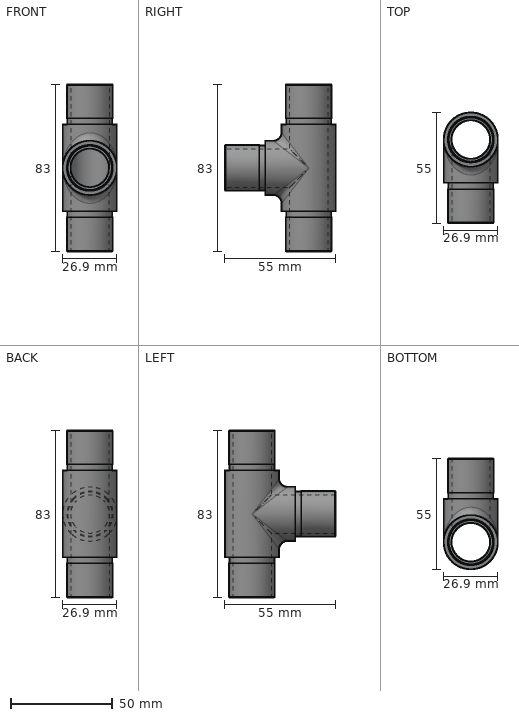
import cadquery as cq
import math

body_diameter = 26.9
groove_diameter = 22.4
spigot_diameter = 22.8
bore_diameter = 19.0
shoulder_reach = 21.5
groove_width = 3.0
arm_reach = 41.5
end_chamfer = 0.5
junction_fillet = 4.0
seam_tolerance = 1e-4

body_radius = body_diameter / 2
ball_reach = body_radius + junction_fillet

AXIS_UP = cq.Vector(0, 0, 1)
AXIS_DOWN = cq.Vector(0, 0, -1)
AXIS_BRANCH = cq.Vector(0, -1, 0)
ARM_AXES = (AXIS_UP, AXIS_DOWN, AXIS_BRANCH)


def cylinder(diameter, start, end, axis):
    """Round bar along an axis through the tee centre, between two distances from it."""
    bar = cq.Solid.makeCylinder(diameter / 2, end - start, axis * start, axis)
    return cq.Workplane(obj=bar)


def crotch_wedge():
    """Wedge along X in the upper crotch, between the two flat planes where the blend starts."""
    outline = [
        (0, 0),
        (-body_radius, ball_reach),
        (-ball_reach, ball_reach),
        (-ball_reach, body_radius),
    ]
    return cq.Workplane("YZ").polyline(outline).close().extrude(ball_reach, both=True)


def crotch_blend(wedge):
    """Part of the wedge left solid after a ball of the blend radius rolls along the crotch.

    Run and branch share one diameter, so the ball's centre follows an ellipse in the 45 degree
    plane, its contact lines lie on the wedge's flat sides, and the blend fades out at each end.
    """
    crotch_plane = cq.Plane(origin=(0, 0, 0), xDir=(1, 0, 0), normal=(0, -1, -1))
    ball_path = cq.Workplane(crotch_plane).ellipse(ball_reach, ball_reach * math.sqrt(2))
    inside_path = ball_path.extrude(ball_reach, both=True)

    ball_plane = cq.Plane(origin=(ball_reach, 0, 0), xDir=(1, 0, 0), normal=(0, -1, 1))
    ball_sweep = cq.Workplane(ball_plane).circle(junction_fillet).sweep(ball_path)
    return wedge.intersect(inside_path).cut(ball_sweep)


def tee_body():
    """Full-diameter run and branch, with the wedge at each crotch replaced by its rounded blend."""
    run = cylinder(body_diameter, -shoulder_reach, shoulder_reach, AXIS_UP)
    branch = cylinder(body_diameter, 0, shoulder_reach, AXIS_BRANCH)
    upper_wedge = crotch_wedge()
    lower_wedge = upper_wedge.mirror("XY")
    upper_blend = crotch_blend(upper_wedge)
    lower_blend = upper_blend.mirror("XY")
    tee = run.union(branch).cut(upper_wedge).cut(lower_wedge)
    tee = tee.union(upper_blend, tol=seam_tolerance)
    return tee.union(lower_blend, tol=seam_tolerance)


def spigot(axis):
    """Reduced arm end: a shallow groove, then a push-in length with a chamfered tip."""
    groove_end = shoulder_reach + groove_width
    groove = cylinder(groove_diameter, 0, groove_end, axis)
    sleeve = cylinder(spigot_diameter, groove_end, arm_reach, axis)
    tip = cq.selectors.DirectionMinMaxSelector(axis, True)
    sleeve = sleeve.faces(tip).chamfer(end_chamfer)
    return groove.union(sleeve)


result = tee_body()
for arm_axis in ARM_AXES:
    result = result.union(spigot(arm_axis))
for arm_axis in ARM_AXES:
    result = result.cut(cylinder(bore_diameter, 0, arm_reach, arm_axis))